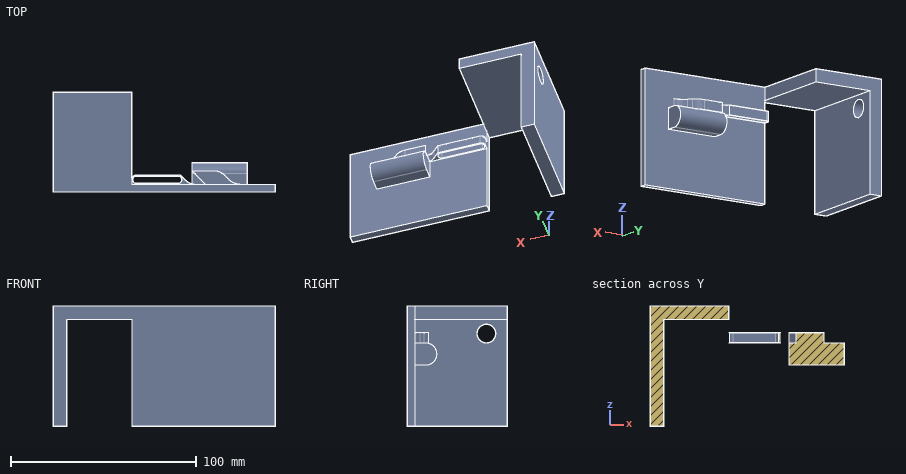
import cadquery as cq

LENGTH = 120.0
DEPTH = 54.0
HEIGHT = 65.0
BOX_WIDTH = 42.5
WALL = 7.5
PLATE_THICKNESS = 4.2

HOLE_DIAMETER = 10.0
HOLE_FROM_BACK = 11.3
HOLE_FROM_TOP = 15.0

LUG_FROM_TOP = 14.5
LUG_HEIGHT = 5.5
LOOP_BACK = 9.2
LOOP_FLAT_END = 68.8
LOOP_CORNER_RADIUS = 2.4
LOOP_ROOT_RADIUS = 7.2
SLOT_START = 43.1
SLOT_END = 69.4
SLOT_FRONT = 4.8
SLOT_BACK = 8.5
SLOT_CORNER_RADIUS = 1.7

BLOCK_START = 74.9
BLOCK_WIDTH = 30.0
BLOCK_BACK = 16.0
BLOCK_RADIUS = 6.0
HOOK_BACK = 11.5
HOOK_FLAT_END = 90.1
HOOK_CORNER_RADIUS = 8.4
HOOK_ROOT_RADIUS = 9.6

LUG_BOTTOM = HEIGHT - LUG_FROM_TOP - LUG_HEIGHT


def box(x_start, y_start, z_start, x_end, y_end, z_end):
    size = (x_end - x_start, y_end - y_start, z_end - z_start)
    return cq.Workplane("XY").box(*size, centered=False).translate((x_start, y_start, z_start))


def make_walls():
    front_plate = box(BOX_WIDTH, 0, 0, LENGTH, PLATE_THICKNESS, HEIGHT)
    top_slab = box(0, 0, HEIGHT - WALL, BOX_WIDTH, DEPTH, HEIGHT)
    left_wall = box(0, 0, 0, WALL, DEPTH, HEIGHT)
    hole = (
        cq.Workplane("YZ")
        .center(DEPTH - HOLE_FROM_BACK, HEIGHT - HOLE_FROM_TOP)
        .circle(HOLE_DIAMETER / 2)
        .extrude(WALL)
    )
    return front_plate.union(top_slab).union(left_wall).cut(hole)


def sloped_lug(front_start, back_start, back_end, back, root_radius):
    """Lug lying on the plate: flat back, 45 degree slope and a rounded root at its right end."""
    slope_end = back_end + back - PLATE_THICKNESS
    slope_foot = slope_end + root_radius
    outline = [
        (front_start, 0),
        (front_start, PLATE_THICKNESS),
        (back_start, back),
        (back_end, back),
        (slope_end, PLATE_THICKNESS),
        (slope_foot, PLATE_THICKNESS),
        (slope_foot, 0),
    ]
    lug = cq.Workplane("XY", origin=(0, 0, LUG_BOTTOM)).polyline(outline).close().extrude(LUG_HEIGHT)
    root = cq.selectors.NearestToPointSelector((slope_end, PLATE_THICKNESS, LUG_BOTTOM + LUG_HEIGHT / 2))
    return lug.edges("|Z").edges(root).fillet(root_radius)


def round_corner(lug, x, y, radius):
    corner = cq.selectors.NearestToPointSelector((x, y, LUG_BOTTOM + LUG_HEIGHT / 2))
    return lug.edges("|Z").edges(corner).fillet(radius)


def make_loop():
    lug = sloped_lug(BOX_WIDTH, BOX_WIDTH, LOOP_FLAT_END, LOOP_BACK, LOOP_ROOT_RADIUS)
    lug = round_corner(lug, BOX_WIDTH, LOOP_BACK, LOOP_CORNER_RADIUS)
    slot = box(SLOT_START, SLOT_FRONT, LUG_BOTTOM, SLOT_END, SLOT_BACK, LUG_BOTTOM + LUG_HEIGHT)
    return lug.cut(slot.edges("|Z").fillet(SLOT_CORNER_RADIUS))


def make_hook():
    front_start = BLOCK_START + HOOK_BACK - PLATE_THICKNESS
    hook = sloped_lug(front_start, BLOCK_START, HOOK_FLAT_END, HOOK_BACK, HOOK_ROOT_RADIUS)
    return round_corner(hook, HOOK_FLAT_END, HOOK_BACK, HOOK_CORNER_RADIUS)


def make_block():
    block_end = BLOCK_START + BLOCK_WIDTH
    bottom = LUG_BOTTOM - 2 * BLOCK_RADIUS
    center_y = BLOCK_BACK - BLOCK_RADIUS
    straight = box(BLOCK_START, 0, bottom, block_end, center_y, LUG_BOTTOM)
    round_end = (
        cq.Workplane("YZ", origin=(BLOCK_START, 0, 0))
        .center(center_y, LUG_BOTTOM - BLOCK_RADIUS)
        .circle(BLOCK_RADIUS)
        .extrude(BLOCK_WIDTH)
    )
    return straight.union(round_end)


result = make_walls().union(make_loop()).union(make_block()).union(make_hook()).clean()